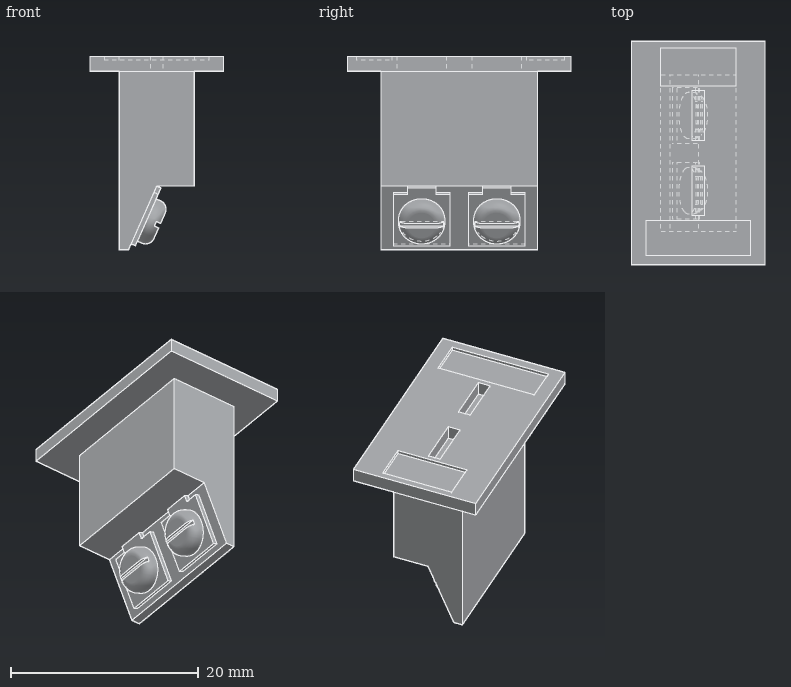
import cadquery as cq
import math

plate_width = 14.2
plate_length = 23.8
plate_thickness = 1.6

recess_depth = 0.4
marking_width = 8.0
marking_length = 4.05
marking_edge_gap = 0.71
label_width = 11.16
label_length = 3.75
label_edge_gap = 0.98

contact_offset = 4.0
slot_width = 1.35
slot_length = 5.28

total_height = 20.59
body_width = 8.0
body_length = 16.65
step_depth = 12.2
toe_width = 1.0
body_bottom = total_height - plate_thickness

terminal_thickness = 0.5
terminal_width = 6.0
terminal_end = 6.74
tab_length = 0.74
tab_width = 3.0

screw_diameter = 4.95
screw_rim_height = 0.5
screw_round = 1.0
drive_slot_width = 0.5
drive_slot_depth = 0.5
screw_height = screw_rim_height + screw_round
screw_position = (tab_length + terminal_end) / 2

slope_run = body_width / 2 - toe_width
slope_drop = body_bottom - step_depth
slope_angle = math.degrees(math.atan2(slope_drop, slope_run))


def flat_box(length_x, length_y, height, x_start):
    """Box standing on Z = 0, centred on Y, that begins at x_start."""
    box = cq.Workplane("XY").box(length_x, length_y, height, centered=(False, True, False))
    return box.translate((x_start, 0, 0))


def make_plate():
    return flat_box(plate_width, plate_length, plate_thickness, -plate_width / 2)


def make_body():
    """Block with a step on the +X side and a sloping face under it."""
    half = body_width / 2
    outline = [
        (-half, 0),
        (half, 0),
        (half, -step_depth),
        (0, -step_depth),
        (toe_width - half, -body_bottom),
        (-half, -body_bottom),
    ]
    return cq.Workplane("XZ").polyline(outline).close().extrude(body_length / 2, both=True)


def top_pocket(width, length, depth, y_center):
    """Cutter for a rectangular pocket sunk into the top face of the plate."""
    return (
        cq.Workplane("XY", origin=(0, y_center, plate_thickness))
        .rect(width, length)
        .extrude(-depth)
    )


def make_terminal():
    """Terminal plate with its narrow tab and screw, laid flat: +X runs down the slope, Z = 0 on it."""
    sheet_length = terminal_end - tab_length
    sheet = flat_box(sheet_length, terminal_width, terminal_thickness, tab_length)
    tab = flat_box(tab_length, tab_width, terminal_thickness, 0)

    screw = (
        cq.Workplane("XY", origin=(screw_position, 0, terminal_thickness))
        .circle(screw_diameter / 2)
        .extrude(screw_height)
        .faces(">Z")
        .edges()
        .fillet(screw_round)
    )
    drive_slot = (
        cq.Workplane("XY", origin=(screw_position, 0, terminal_thickness + screw_height))
        .rect(drive_slot_width, screw_diameter)
        .extrude(-drive_slot_depth)
    )
    return sheet.union(tab).union(screw.cut(drive_slot))


def place_on_slope(terminal, y_center):
    """Turn a flat terminal so it rests on the sloping face, starting at its top edge."""
    return (
        terminal
        .rotate((0, 0, 0), (0, 1, 0), 180 - slope_angle)
        .translate((0, y_center, -step_depth))
    )


result = make_plate().union(make_body())

marking_y = plate_length / 2 - marking_edge_gap - marking_length / 2
label_y = -plate_length / 2 + label_edge_gap + label_length / 2
result = result.cut(top_pocket(marking_width, marking_length, recess_depth, marking_y))
result = result.cut(top_pocket(label_width, label_length, recess_depth, label_y))

for contact_y in (-contact_offset, contact_offset):
    result = result.cut(top_pocket(slot_width, slot_length, plate_thickness, contact_y))
    result = result.union(place_on_slope(make_terminal(), contact_y))